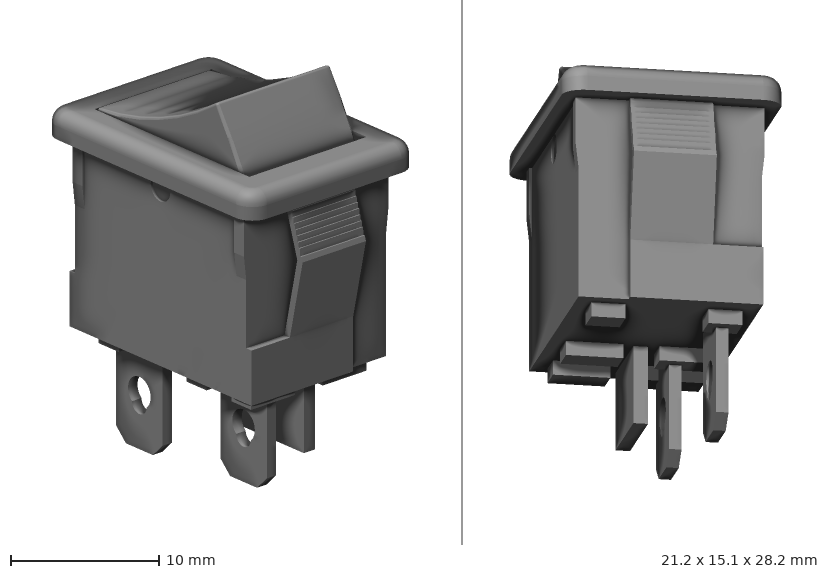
import cadquery as cq
import math


BEZEL_LENGTH = 21.2
BEZEL_WIDTH = 15.1
BEZEL_HEIGHT = 2.0
BEZEL_CORNER_RADIUS = 1.5
BEZEL_TOP_FILLET = 1.0
WELL_LENGTH = 15.8
WELL_WIDTH = 10.56

ROCKER_HALF_WIDTH = 5.1
ROCKER_LEFT_X = -7.75
ROCKER_LEFT_Z = 2.05
ROCKER_RIGHT_X = 7.8
ROCKER_PEAK_X = 4.35
ROCKER_PEAK_Z = 6.28
ROCKER_SAG = 0.83
ROCKER_END_BULGE = 0.15
ROCKER_ROOT_DEPTH = 0.5
ROCKER_EDGE_FILLET = 0.2

BODY_HALF_LENGTH = 8.75
BODY_HALF_WIDTH = 6.3
BODY_DEPTH = 14.05
LEDGE_HALF_LENGTH = 9.3
LEDGE_TOP_Z = -10.0
CLIP_HALF_WIDTH = 2.85

PAD_HALF_WIDTH = 6.5
PAD_LENGTH = 1.0
PAD_FULL_DEPTH = 3.25
PAD_DEPTH = 5.0
PIVOT_DIAMETER = 2.0
PIVOT_RECESS_DEPTH = 0.2

CLIP_THICKNESS = 0.55
CLIP_TOP_X = 9.3
CLIP_KNEE_X = BEZEL_LENGTH / 2
CLIP_KNEE_Z = -4.1
GRIP_STEP_COUNT = 8
GRIP_STEP_PITCH = 0.413
GRIP_START_Z = -0.28
GRIP_END_Z = -3.73
GRIP_RISER_SLOPE = 0.08

FOOT_HEIGHT = 1.0
FOOT_OUTER_Y = 5.2
FOOT_INNER_Y = 1.25
LEFT_FOOT_X_RANGE = (-7.6, -5.5)
MIDDLE_FOOT_X_RANGE = (1.4, 3.45)
RIGHT_FOOT_X_RANGE = (6.0, 8.0)

TERMINAL_TIP_Z = -22.0
TERMINAL_WIDTH = 4.75
TERMINAL_THICKNESS = 0.85
TERMINAL_CHAMFER = 1.0
TERMINAL_LEFT_CENTER = (-4.3, -3.99)
TERMINAL_RIGHT_CENTER = (4.65, -2.5)
EYE_Z = -17.85
EYE_RADIUS = 1.15
EYE_NECK_Z = -18.68
EYE_NECK_RADIUS = 0.75
REAR_TERMINAL_LEFT_X = 1.7
REAR_TERMINAL_RIGHT_X = 8.05
REAR_TERMINAL_HALF_THICKNESS = 0.5
REAR_TERMINAL_TIP_Z = -19.5


def box(x_range, y_range, z_range):
    """Axis-aligned box between the given limits."""
    sizes = [high - low for low, high in (x_range, y_range, z_range)]
    corner = (x_range[0], y_range[0], z_range[0])
    return cq.Workplane("XY").box(*sizes, centered=False).translate(corner)


def extrude_along_y(profile, y_low, y_high):
    """Extrude a closed XZ profile from y_low to y_high."""
    return profile.extrude(y_low - y_high).translate((0, y_low, 0))


def bulged_midpoint(start, end, bulge):
    """Point beside the middle of a chord, offset to the left of its direction."""
    dx = end[0] - start[0]
    dz = end[1] - start[1]
    chord = math.hypot(dx, dz)
    mid_x = (start[0] + end[0]) / 2
    mid_z = (start[1] + end[1]) / 2
    return (mid_x - bulge * dz / chord, mid_z + bulge * dx / chord)


def make_bezel():
    bezel = (
        cq.Workplane("XY")
        .rect(BEZEL_LENGTH, BEZEL_WIDTH)
        .extrude(BEZEL_HEIGHT)
        .edges("|Z")
        .fillet(BEZEL_CORNER_RADIUS)
        .faces(">Z")
        .edges()
        .fillet(BEZEL_TOP_FILLET)
    )
    well = cq.Workplane("XY").rect(WELL_LENGTH, WELL_WIDTH).extrude(BEZEL_HEIGHT)
    return bezel.cut(well)


def make_rocker():
    """Rocker with a concave top face and a slightly convex raised end, rooted in the body."""
    left = (ROCKER_LEFT_X, ROCKER_LEFT_Z)
    peak = (ROCKER_PEAK_X, ROCKER_PEAK_Z)
    right = (ROCKER_RIGHT_X, 0)
    profile = (
        cq.Workplane("XZ")
        .moveTo(ROCKER_LEFT_X, -ROCKER_ROOT_DEPTH)
        .lineTo(*left)
        .threePointArc(bulged_midpoint(left, peak, -ROCKER_SAG), peak)
        .threePointArc(bulged_midpoint(peak, right, ROCKER_END_BULGE), right)
        .lineTo(ROCKER_RIGHT_X, -ROCKER_ROOT_DEPTH)
        .close()
    )
    rocker = extrude_along_y(profile, -ROCKER_HALF_WIDTH, ROCKER_HALF_WIDTH)
    rounded_edges = rocker.edges("%CIRCLE").add(rocker.edges("|Y and >Z"))
    return rocker.newObject(rounded_edges.vals()).fillet(ROCKER_EDGE_FILLET)


def make_body():
    """Main box with a wider ledge at its foot, which stops short of the +Y side."""
    main = box(
        (-BODY_HALF_LENGTH, BODY_HALF_LENGTH),
        (-BODY_HALF_WIDTH, BODY_HALF_WIDTH),
        (-BODY_DEPTH, 0),
    )
    ledge = box(
        (-LEDGE_HALF_LENGTH, LEDGE_HALF_LENGTH),
        (-BODY_HALF_WIDTH, CLIP_HALF_WIDTH),
        (-BODY_DEPTH, LEDGE_TOP_Z),
    )
    return main.union(ledge)


def make_pads():
    """Pads across both ends of the body that taper back into its long sides."""
    outline = [
        (-PAD_HALF_WIDTH, 0),
        (-PAD_HALF_WIDTH, -PAD_FULL_DEPTH),
        (-BODY_HALF_WIDTH, -PAD_DEPTH),
        (BODY_HALF_WIDTH, -PAD_DEPTH),
        (PAD_HALF_WIDTH, -PAD_FULL_DEPTH),
        (PAD_HALF_WIDTH, 0),
    ]
    left_pad = (
        cq.Workplane("YZ")
        .polyline(outline)
        .close()
        .extrude(PAD_LENGTH)
        .translate((-BODY_HALF_LENGTH, 0, 0))
    )
    return left_pad.union(left_pad.mirror("YZ"))


def make_pivot_recesses():
    """Shallow round recess in each long side, touching the underside of the bezel."""
    radius = PIVOT_DIAMETER / 2
    floor_y = BODY_HALF_WIDTH - PIVOT_RECESS_DEPTH
    profile = cq.Workplane("XZ").center(0, -radius).circle(radius)
    front_recess = extrude_along_y(profile, -BODY_HALF_WIDTH, -floor_y)
    return front_recess.union(front_recess.mirror("XZ"))


def clip_upper_x(z):
    """Outer X of the clip's upper leg, on its straight slope, at height z."""
    return CLIP_TOP_X + (CLIP_KNEE_X - CLIP_TOP_X) * z / CLIP_KNEE_Z


def make_grip_steps():
    """Outer points of the finger grip: steep risers, each followed by a ledge out to the slope."""
    ledge_heights = [GRIP_START_Z - index * GRIP_STEP_PITCH for index in range(GRIP_STEP_COUNT)]
    ledge_heights.append(GRIP_END_Z)
    points = [(clip_upper_x(GRIP_START_Z), GRIP_START_Z)]
    for upper_z, lower_z in zip(ledge_heights, ledge_heights[1:]):
        riser_foot_x = clip_upper_x(upper_z) + GRIP_RISER_SLOPE * (upper_z - lower_z)
        points.append((riser_foot_x, lower_z))
        points.append((clip_upper_x(lower_z), lower_z))
    return points


def make_clips():
    """Bent spring clips with a stepped finger grip, standing on the ledges."""
    outline = [
        (CLIP_TOP_X, 0),
        *make_grip_steps(),
        (CLIP_KNEE_X, CLIP_KNEE_Z),
        (LEDGE_HALF_LENGTH, LEDGE_TOP_Z),
        (LEDGE_HALF_LENGTH - CLIP_THICKNESS, LEDGE_TOP_Z),
        (CLIP_KNEE_X - CLIP_THICKNESS, CLIP_KNEE_Z),
        (CLIP_TOP_X - CLIP_THICKNESS, 0),
    ]
    clip = cq.Workplane("XZ").polyline(outline).close()
    clip = extrude_along_y(clip, -CLIP_HALF_WIDTH, CLIP_HALF_WIDTH)
    return clip.union(clip.mirror("YZ"))


def make_feet():
    """Two mirrored rows of feet under the body; the left foot of each row is shorter in Y."""
    feet_limits = [
        (LEFT_FOOT_X_RANGE, CLIP_HALF_WIDTH),
        (MIDDLE_FOOT_X_RANGE, FOOT_INNER_Y),
        (RIGHT_FOOT_X_RANGE, FOOT_INNER_Y),
    ]
    z_range = (-BODY_DEPTH - FOOT_HEIGHT, -BODY_DEPTH)
    feet = cq.Workplane("XY")
    for x_range, inner_y in feet_limits:
        foot = box(x_range, (-FOOT_OUTER_Y, -inner_y), z_range)
        feet = feet.union(foot).union(foot.mirror("XZ"))
    return feet


def make_blade_terminal(center):
    """Flat blade with a chamfered tip and a keyhole-shaped wire eye."""
    center_x, center_y = center
    half_thickness = TERMINAL_THICKNESS / 2
    blade = box(
        (center_x - TERMINAL_WIDTH / 2, center_x + TERMINAL_WIDTH / 2),
        (center_y - half_thickness, center_y + half_thickness),
        (TERMINAL_TIP_Z, -BODY_DEPTH),
    )
    blade = blade.edges("|Y and <Z").chamfer(TERMINAL_CHAMFER)
    for eye_z, eye_radius in ((EYE_Z, EYE_RADIUS), (EYE_NECK_Z, EYE_NECK_RADIUS)):
        eye = cq.Workplane("XZ").center(center_x, eye_z).circle(eye_radius)
        blade = blade.cut(extrude_along_y(eye, center_y - half_thickness, center_y + half_thickness))
    return blade


def make_rear_terminal():
    return box(
        (REAR_TERMINAL_LEFT_X, REAR_TERMINAL_RIGHT_X),
        (-REAR_TERMINAL_HALF_THICKNESS, REAR_TERMINAL_HALF_THICKNESS),
        (REAR_TERMINAL_TIP_Z, -BODY_DEPTH),
    )


result = (
    make_body()
    .cut(make_pivot_recesses())
    .union(make_bezel())
    .union(make_pads())
    .union(make_clips())
    .union(make_rocker())
    .union(make_feet())
    .union(make_blade_terminal(TERMINAL_LEFT_CENTER))
    .union(make_blade_terminal(TERMINAL_RIGHT_CENTER))
    .union(make_rear_terminal())
)